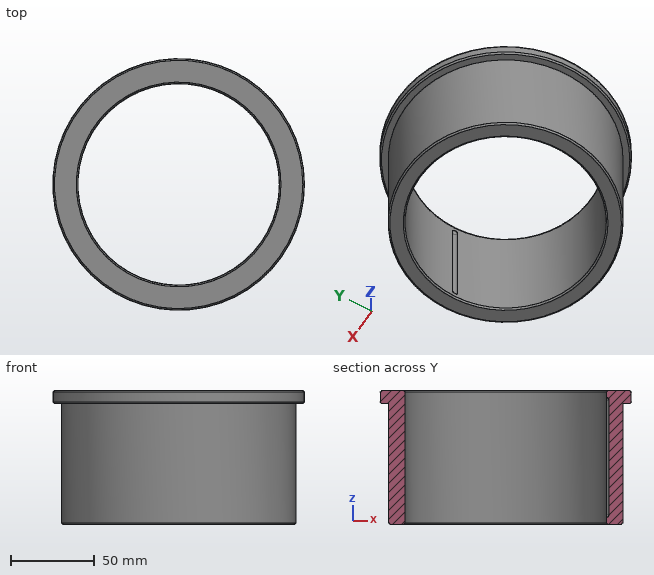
import cadquery as cq

bore_diameter = 120.0
sleeve_diameter = 140.0
flange_diameter = 150.0
total_height = 80.0
flange_thickness = 8.0
edge_chamfer = 1.0
groove_radius = 1.7
groove_axis_inset = 0.15
groove_end_distance = 6.0

bore_radius = bore_diameter / 2
sleeve_radius = sleeve_diameter / 2
flange_radius = flange_diameter / 2
flange_bottom = total_height - flange_thickness


def cylinder(radius, bottom, top):
    """Solid cylinder about Z with sharp rims."""
    return cq.Workplane("XY").workplane(offset=bottom).circle(radius).extrude(top - bottom)


def chamfered_cylinder(radius, bottom, top):
    """Solid cylinder about Z with both rims chamfered."""
    return cylinder(radius, bottom, top).edges("%CIRCLE").chamfer(edge_chamfer)


def make_bushing():
    """Flanged sleeve standing on Z = 0, its flange level with the upper end."""
    sleeve = chamfered_cylinder(sleeve_radius, 0, total_height)
    flange = chamfered_cylinder(flange_radius, flange_bottom, total_height)
    return sleeve.union(flange)


def cut_bore(body):
    """Through bore, chamfered at both mouths."""
    bored = body.cut(cylinder(bore_radius, 0, total_height))
    bore_mouths = cq.selectors.RadiusNthSelector(0)
    return bored.edges(bore_mouths).chamfer(edge_chamfer)


def cut_groove(body):
    """Round-bottomed groove along the bore wall at +X, closed by a ball end at top and bottom."""
    bottom_center = groove_end_distance
    top_center = total_height - groove_end_distance
    cutter = cylinder(groove_radius, bottom_center, top_center)
    for center_height in (bottom_center, top_center):
        ball_end = cq.Workplane("XY").sphere(groove_radius).translate((0, 0, center_height))
        cutter = cutter.union(ball_end)
    return body.cut(cutter.translate((bore_radius - groove_axis_inset, 0, 0)))


bushing = make_bushing()
bored_bushing = cut_bore(bushing)
result = cut_groove(bored_bushing)